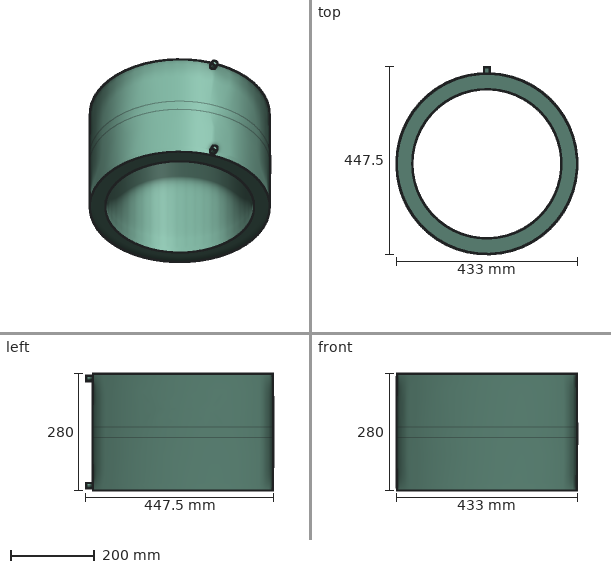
import cadquery as cq

overall_length = 447.5
ring_diameter = 433.0
bore_diameter = 356.0
ring_height = 280.0
band_height = 24.5
end_drop = 1.1
pin_diameter = 14.0
pin_end_distance = 11.5

band_radius = ring_diameter / 2
bore_radius = bore_diameter / 2
end_radius = band_radius - end_drop
half_height = ring_height / 2
half_band = band_height / 2
pin_tip_y = overall_length - band_radius
pin_root_y = (bore_radius + end_radius) / 2
pin_z = half_height - pin_end_distance

crown_mid_radius = band_radius - end_drop / 4
crown_mid_z = (half_band + half_height) / 2


def crowned_ring():
    """Thick ring with a straight band and shallow arcs falling to both ends."""
    return (
        cq.Workplane("XZ")
        .moveTo(-bore_radius, -half_height)
        .lineTo(-end_radius, -half_height)
        .threePointArc((-crown_mid_radius, -crown_mid_z), (-band_radius, -half_band))
        .lineTo(-band_radius, half_band)
        .threePointArc((-crown_mid_radius, crown_mid_z), (-end_radius, half_height))
        .lineTo(-bore_radius, half_height)
        .close()
        .revolve(360, (0, 0, 0), (0, 1, 0))
    )


def radial_pin(z):
    """Round pin along +Y, rooted inside the ring wall."""
    return cq.Workplane(
        cq.Solid.makeCylinder(
            pin_diameter / 2,
            pin_tip_y - pin_root_y,
            cq.Vector(0, pin_root_y, z),
            cq.Vector(0, 1, 0),
        )
    )


result = crowned_ring()
for z in (-pin_z, pin_z):
    result = result.union(radial_pin(z))